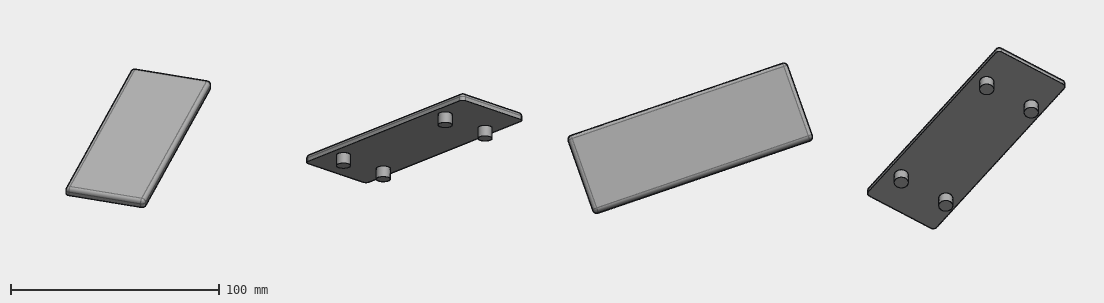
import cadquery as cq

plate_width = 40.0
plate_length = 111.7
plate_thickness = 4.0
edge_radius = 2.0

total_height = 9.5
peg_diameter = 6.8
peg_spacing_x = 26.0
peg_spacing_y = 72.2
peg_length = total_height - plate_thickness

plate = (
    cq.Workplane("XY")
    .box(plate_width, plate_length, plate_thickness, centered=(True, True, False))
    .edges("|Z")
    .fillet(edge_radius)
    .faces(">Z")
    .edges()
    .fillet(edge_radius)
)

pegs = (
    cq.Workplane("XY")
    .rect(peg_spacing_x, peg_spacing_y, forConstruction=True)
    .vertices()
    .circle(peg_diameter / 2)
    .extrude(-peg_length)
)

result = plate.union(pegs)